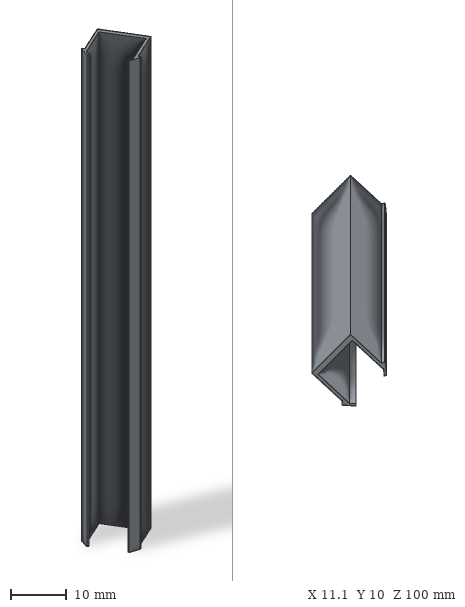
import cadquery as cq
import math

length = 100.0
channel_width = 10.0
section_depth = 10.0
web_thickness = 1.0
wall_thickness = 0.6

width_over_lips = 11.07
lip_thickness = 0.44
lip_angle = 50.0
lip_tip_x = 3.96
barb_angle = 30.0
nose_angle = 18.5
nose_height = 0.24

half_width = channel_width / 2
back_y = section_depth / 2
lip_tip_y = -section_depth / 2
inner_x = half_width - wall_thickness
web_inner_y = back_y - web_thickness

lip_slope = math.tan(math.radians(lip_angle))
nose_top_x = width_over_lips / 2
nose_bottom_x = nose_top_x - nose_height * math.tan(math.radians(nose_angle))
nose_bottom_y = lip_tip_y + (nose_bottom_x - lip_tip_x) * lip_slope
nose_top_y = nose_bottom_y + nose_height
shoulder_y = nose_top_y + (nose_top_x - half_width) * math.tan(math.radians(barb_angle))

inner_tip_x = lip_tip_x - lip_thickness * math.sin(math.radians(lip_angle))
inner_tip_y = lip_tip_y + lip_thickness * math.cos(math.radians(lip_angle))
wall_end_y = inner_tip_y + (inner_x - inner_tip_x) * lip_slope


def half_section():
    """Right half of the section, closed along the mid-plane."""
    return (
        cq.Workplane("XY")
        .workplane(offset=-length / 2)
        .moveTo(0, back_y)
        .lineTo(half_width, back_y)
        .lineTo(half_width, shoulder_y)
        .lineTo(nose_top_x, nose_top_y)
        .lineTo(nose_bottom_x, nose_bottom_y)
        .lineTo(lip_tip_x, lip_tip_y)
        .lineTo(inner_tip_x, inner_tip_y)
        .lineTo(inner_x, wall_end_y)
        .lineTo(inner_x, web_inner_y)
        .lineTo(0, web_inner_y)
        .close()
    )


right_half = half_section().extrude(length)
result = right_half.union(right_half.mirror("YZ")).clean()